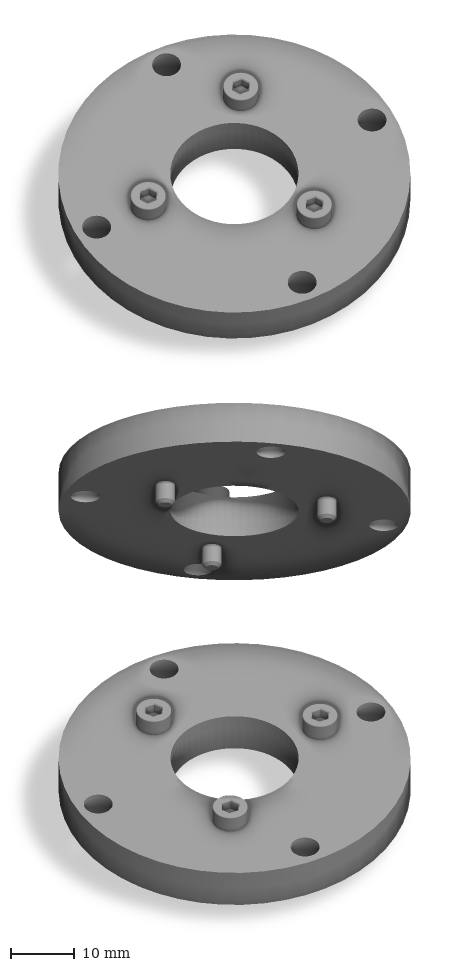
import cadquery as cq
import math

PLATE_DIAMETER = 55.0
PLATE_THICKNESS = 6.6
BORE_DIAMETER = 20.0
MOUNT_HOLE_DIAMETER = 4.5
MOUNT_CIRCLE_RADIUS = 24.0
MOUNT_HOLE_COUNT = 4

SCREW_COUNT = 3
SCREW_CIRCLE_RADIUS = 15.0
FIRST_SCREW_ANGLE = -90.0
SHANK_DIAMETER = 3.0
SHANK_LENGTH = 10.0
TIP_CHAMFER = 0.5
HEAD_DIAMETER = 5.5
HEAD_HEIGHT = 2.95
HEAD_EDGE_RADIUS = 0.15
HEAD_SEAT_CHAMFER = 0.15
SOCKET_WIDTH = 2.55
SOCKET_DEPTH = 1.75
SOCKET_CHAMFER = 0.15


def screw_positions():
    """Centres of the screws, evenly spaced around the plate axis."""
    step = 2 * math.pi / SCREW_COUNT
    first = math.radians(FIRST_SCREW_ANGLE)
    angles = [first + i * step for i in range(SCREW_COUNT)]
    return [(SCREW_CIRCLE_RADIUS * math.cos(a), SCREW_CIRCLE_RADIUS * math.sin(a)) for a in angles]


def make_plate():
    """Round plate with its bottom on Z = 0, a central bore, mounting holes and screw holes."""
    plate = cq.Workplane("XY").circle(PLATE_DIAMETER / 2).extrude(PLATE_THICKNESS)
    plate = plate.faces(">Z").workplane().hole(BORE_DIAMETER)
    plate = (
        plate.faces(">Z").workplane()
        .polarArray(MOUNT_CIRCLE_RADIUS, 0, 360, MOUNT_HOLE_COUNT)
        .hole(MOUNT_HOLE_DIAMETER)
    )
    return plate.faces(">Z").workplane().pushPoints(screw_positions()).hole(SHANK_DIAMETER)


def hexagon_across_flats(width, height):
    """Hexagon outline at the given height, with two corners along Y."""
    corner_diameter = width / math.cos(math.pi / 6)
    plane = cq.Workplane("XY", origin=(0, 0, height)).transformed(rotate=(0, 0, 90))
    return plane.polygon(6, corner_diameter)


def make_socket():
    """Hexagonal socket cutter that widens over a chamfered hexagonal mouth."""
    hexagon = hexagon_across_flats(SOCKET_WIDTH, HEAD_HEIGHT).extrude(-SOCKET_DEPTH)
    mouth_width = SOCKET_WIDTH + 2 * SOCKET_CHAMFER
    mouth = hexagon_across_flats(mouth_width, HEAD_HEIGHT).extrude(-SOCKET_CHAMFER, taper=45)
    return hexagon.union(mouth)


def make_screw():
    """Socket head screw on the Z axis, with the underside of its head on Z = 0."""
    head = cq.Workplane("XY").circle(HEAD_DIAMETER / 2).extrude(HEAD_HEIGHT)
    head = head.faces(">Z").edges().fillet(HEAD_EDGE_RADIUS)
    head = head.faces("<Z").edges().chamfer(HEAD_SEAT_CHAMFER)
    shank = cq.Workplane("XY").circle(SHANK_DIAMETER / 2).extrude(-SHANK_LENGTH)
    shank = shank.faces("<Z").edges().chamfer(TIP_CHAMFER)
    return head.union(shank).cut(make_socket())


plate = make_plate()
screw = make_screw()
screws = [screw.translate((x, y, PLATE_THICKNESS)) for x, y in screw_positions()]

result = cq.Compound.makeCompound([plate.val(), *[s.val() for s in screws]])